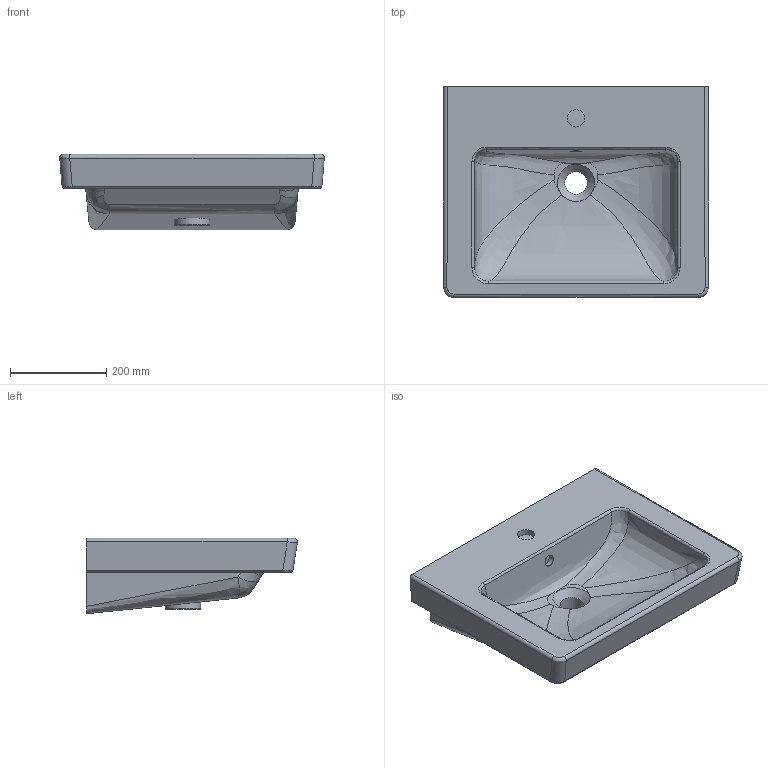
import cadquery as cq
import math

WIDTH = 550.12
DEPTH = 438.13
HEIGHT = 156.92

SLAB_HEIGHT = 70.4
SIDE_LEAN = 0.086
FRONT_LEAN = 0.157
SLAB_CORNER_RADIUS = 21.0
RIM_EDGE_RADIUS = 7.0
SLAB_BOTTOM_RADIUS = 4.0

BODY_TOP_HALF_WIDTH = 221.0
BODY_SIDE_LEAN = 0.1
BODY_SLOPE = 0.104
BODY_EDGE_RADIUS_BACK = 17.0
BODY_EDGE_RADIUS_GROWTH = 0.1
BODY_FRONT_REACH = 368.0
BODY_FRONT_ANGLE = 58.0
BODY_NOSE_RADIUS = 42.0
OVERLAP = 10.0

BOWL_HALF_WIDTH = 211.0
BOWL_BACK_Y = -130.0
BOWL_FRONT_Y = -404.0
BOWL_DEPTH = 96.0
BOWL_BACK_LEAN = 0.13
BOWL_HEEL_RADIUS = 21.0
BOWL_CORNER_RADIUS = 25.0
BOWL_CORNER_SWELL = 20.0
BOWL_SIDE_FALL_POWER = 2.6
BOWL_SIDE_RUN_POWER = 2.8
BOWL_RAMP_FALL_POWER = 2.0
BOWL_RAMP_RUN_POWER = 1.9
BOWL_FLOOR_DEPTH = 95.5
BOWL_SECTION_DEPTHS = (0, 20, 45, 65, 80, 90, BOWL_FLOOR_DEPTH)
BOWL_RIM_RADIUS = 5.0
SELECTION_MARGIN = 1.0

DRAIN_Y = -200.0
DRAIN_DIAMETER = 47.52
DRAIN_SEAT_DIAMETER = 77.6
DRAIN_SEAT_DEPTH = 15.0
DRAIN_SEAT_CLEARANCE = 10.0
DRAIN_BOSS_DIAMETER = 74.0
DRAIN_BOSS_BOTTOM_Z = -147.4
DRAIN_BOSS_EDGE_RADIUS = 2.0
TAP_DIAMETER = 36.0
TAP_Y = -66.0
TAP_DEPTH = 13.0
OVERFLOW_DIAMETER = 24.0
OVERFLOW_Z = -32.0
OVERFLOW_DEPTH = 12.0


def edge_loss(lean):
    """Reach lost when the sharp rim edge of a leaning wall is rounded."""
    return RIM_EDGE_RADIUS * (lean + math.hypot(1, lean) - 1)


def slab_outline(z):
    """Plan of the slab at height z: square at the wall, rounded at the front."""
    half = WIDTH / 2 + edge_loss(SIDE_LEAN) + SIDE_LEAN * z
    front = -(DEPTH + edge_loss(FRONT_LEAN) + FRONT_LEAN * z)
    radius = SLAB_CORNER_RADIUS
    bulge = radius * (1 - math.sqrt(0.5))
    return (
        cq.Workplane("XY", origin=(0, 0, z))
        .moveTo(half, 0)
        .lineTo(half, front + radius)
        .threePointArc((half - bulge, front + bulge), (half - radius, front))
        .lineTo(radius - half, front)
        .threePointArc((bulge - half, front + bulge), (-half, front + radius))
        .lineTo(-half, 0)
        .close()
        .wires()
        .val()
    )


def make_slab():
    outlines = [slab_outline(-SLAB_HEIGHT), slab_outline(0)]
    slab = cq.Workplane(cq.Solid.makeLoft(outlines, True))
    slab = slab.faces(">Z").edges("not >Y").fillet(RIM_EDGE_RADIUS)
    return slab.faces("<Z").edges("not >Y").fillet(SLAB_BOTTOM_RADIUS)


def body_section(reach):
    """Section of the body at a distance from the wall, with rounded lower edges."""
    top = OVERLAP - SLAB_HEIGHT
    bottom = -HEIGHT + BODY_SLOPE * reach
    radius = BODY_EDGE_RADIUS_BACK + BODY_EDGE_RADIUS_GROWTH * reach
    lean = math.atan(BODY_SIDE_LEAN)
    top_half = BODY_TOP_HALF_WIDTH + BODY_SIDE_LEAN * OVERLAP
    bottom_half = top_half - BODY_SIDE_LEAN * (top - bottom)
    arc_x = bottom_half - radius * math.tan(math.pi / 4 - lean / 2)
    arc_z = bottom + radius

    def on_arc(angle):
        return arc_x + radius * math.cos(angle), arc_z + radius * math.sin(angle)

    side_x, side_z = on_arc(-lean)
    mid_x, mid_z = on_arc(-(math.pi / 2 + lean) / 2)
    return (
        cq.Workplane("XZ", origin=(0, -reach, 0))
        .moveTo(top_half, top)
        .lineTo(side_x, side_z)
        .threePointArc((mid_x, mid_z), (arc_x, bottom))
        .lineTo(-arc_x, bottom)
        .threePointArc((-mid_x, mid_z), (-side_x, side_z))
        .lineTo(-top_half, top)
        .close()
        .wires()
        .val()
    )


def make_body():
    body = cq.Workplane(cq.Solid.makeLoft([body_section(0), body_section(DEPTH)], True))
    run_per_height = 1 / math.tan(math.radians(BODY_FRONT_ANGLE))
    front_top = BODY_FRONT_REACH + run_per_height * OVERLAP
    front_bottom = front_top - run_per_height * HEIGHT
    top = OVERLAP - SLAB_HEIGHT
    side_profile = (
        cq.Workplane("YZ")
        .polyline([(0, top), (-front_top, top), (-front_bottom, top - HEIGHT), (0, top - HEIGHT)])
        .close()
        .extrude(WIDTH / 2, both=True)
    )
    body = body.intersect(side_profile)
    front = cq.selectors.DirectionMinMaxSelector(cq.Vector(0, -1, 0), True)
    return body.faces(front).edges("not >Z").fillet(BODY_NOSE_RADIUS)


def bowl_section(depth):
    """Rounded rectangle that bounds the bowl at a depth below the rim."""
    fall = depth / BOWL_DEPTH
    half = BOWL_HALF_WIDTH * (1 - fall**BOWL_SIDE_FALL_POWER) ** (1 / BOWL_SIDE_RUN_POWER)
    ramp = (1 - fall**BOWL_RAMP_FALL_POWER) ** (1 / BOWL_RAMP_RUN_POWER)
    front = DRAIN_Y + (BOWL_FRONT_Y - DRAIN_Y) * ramp
    below_arc_start = max(0, depth - (BOWL_DEPTH - BOWL_HEEL_RADIUS))
    heel = BOWL_HEEL_RADIUS - math.sqrt(BOWL_HEEL_RADIUS**2 - below_arc_start**2)
    back = BOWL_BACK_Y - BOWL_BACK_LEAN * depth - heel
    front_radius = BOWL_CORNER_RADIUS + 4 * BOWL_CORNER_SWELL * fall * (1 - fall)
    return (
        cq.Sketch()
        .push([(0, (back + front) / 2)])
        .rect(2 * half, back - front)
        .reset()
        .vertices(">Y")
        .fillet(BOWL_CORNER_RADIUS)
        .reset()
        .vertices("<Y")
        .fillet(front_radius)
        .moved(z=-depth)
    )


def make_bowl():
    """Solid that is scooped out of the slab and body."""
    sections = [bowl_section(depth) for depth in BOWL_SECTION_DEPTHS]
    return cq.Workplane("XY").placeSketch(*sections).loft()


def make_drain_boss():
    height = -BOWL_DEPTH - DRAIN_BOSS_BOTTOM_Z
    boss = (
        cq.Workplane("XY", origin=(0, DRAIN_Y, DRAIN_BOSS_BOTTOM_Z))
        .circle(DRAIN_BOSS_DIAMETER / 2)
        .extrude(height)
    )
    return boss.faces("<Z").edges().fillet(DRAIN_BOSS_EDGE_RADIUS)


def make_drain_hole():
    """Through hole with a conical seat below the bowl floor."""
    seat_radius = DRAIN_SEAT_DIAMETER / 2
    hole_radius = DRAIN_DIAMETER / 2
    floor_z = -BOWL_FLOOR_DEPTH
    return (
        cq.Workplane("XZ")
        .polyline([
            (0, floor_z + DRAIN_SEAT_CLEARANCE),
            (seat_radius, floor_z + DRAIN_SEAT_CLEARANCE),
            (seat_radius, floor_z),
            (hole_radius, floor_z - DRAIN_SEAT_DEPTH),
            (hole_radius, -HEIGHT),
            (0, -HEIGHT),
        ])
        .close()
        .revolve(360, (0, 0), (0, 1))
        .translate((0, DRAIN_Y, 0))
    )


def make_tap_hole():
    return (
        cq.Workplane("XY", origin=(0, TAP_Y, -TAP_DEPTH))
        .circle(TAP_DIAMETER / 2)
        .extrude(TAP_DEPTH)
    )


def make_overflow_hole():
    """Blind hole square to the leaning back wall of the bowl."""
    lean = math.degrees(math.atan(BOWL_BACK_LEAN))
    wall_y = BOWL_BACK_Y + BOWL_BACK_LEAN * OVERFLOW_Z
    hole = cq.Workplane("XZ").circle(OVERFLOW_DIAMETER / 2).extrude(OVERFLOW_DEPTH, both=True)
    return hole.rotate((0, 0, 0), (1, 0, 0), -lean).translate((0, wall_y, OVERFLOW_Z))


def round_bowl_rim(basin):
    rim = cq.selectors.BoxSelector(
        (-BOWL_HALF_WIDTH - SELECTION_MARGIN, BOWL_FRONT_Y - SELECTION_MARGIN, -SELECTION_MARGIN),
        (BOWL_HALF_WIDTH + SELECTION_MARGIN, BOWL_BACK_Y + SELECTION_MARGIN, SELECTION_MARGIN),
        boundingbox=True,
    )
    return basin.edges(rim).fillet(BOWL_RIM_RADIUS)


basin = make_slab().union(make_body()).union(make_drain_boss()).cut(make_bowl())
basin = round_bowl_rim(basin)
result = basin.cut(make_drain_hole()).cut(make_tap_hole()).cut(make_overflow_hole())